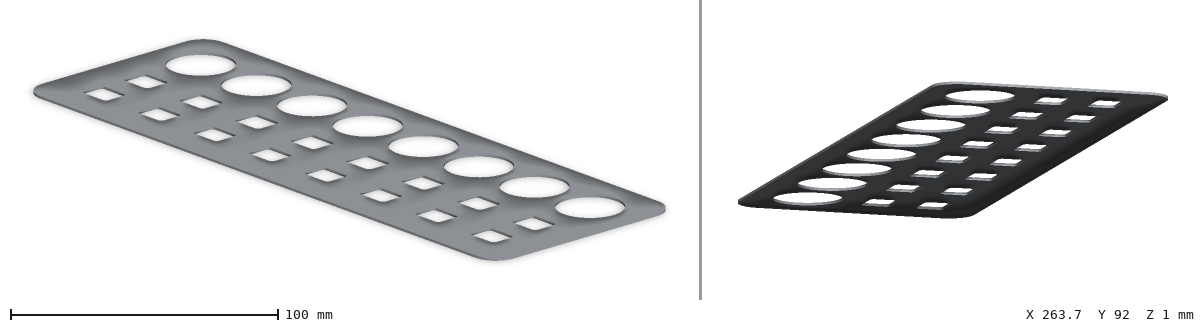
import cadquery as cq

plate_length = 263.7
plate_width = 92.0
plate_thickness = 1.0
plate_corner_radius = 10.0

column_count = 8

hole_diameter = 26.5
hole_row_span = 217.8
hole_row_from_edge = 23.0

window_length = 13.7
window_corner_radius = 1.5
window_row_span = 217.0
window_row_shift = 0.3
upper_window_width = 11.0
upper_window_row_from_edge = 51.2
lower_window_width = 10.5
lower_window_row_from_edge = 72.3


def row_points(span, distance_from_edge, shift=0.0):
    """Evenly spaced centres along X, at a distance from the +Y edge of the plate."""
    pitch = span / (column_count - 1)
    first_x = shift - span / 2
    y = plate_width / 2 - distance_from_edge
    return [(first_x + column * pitch, y) for column in range(column_count)]


def rounded_block(length, width, corner_radius):
    """Plate-thick block centred on the origin, with rounded upright edges."""
    block = cq.Workplane("XY").box(length, width, plate_thickness)
    return block.edges("|Z").fillet(corner_radius)


def window_row(width, distance_from_edge):
    """Cutters for one row of rounded rectangular windows."""
    window = rounded_block(window_length, width, window_corner_radius).val()
    centres = row_points(window_row_span, distance_from_edge, window_row_shift)
    return cq.Workplane("XY").pushPoints(centres).eachpoint(lambda place: window.moved(place))


plate = rounded_block(plate_length, plate_width, plate_corner_radius)

hole_centres = row_points(hole_row_span, hole_row_from_edge)
plate = plate.faces(">Z").workplane().pushPoints(hole_centres).hole(hole_diameter)

plate = plate.cut(window_row(upper_window_width, upper_window_row_from_edge))
plate = plate.cut(window_row(lower_window_width, lower_window_row_from_edge))

result = plate